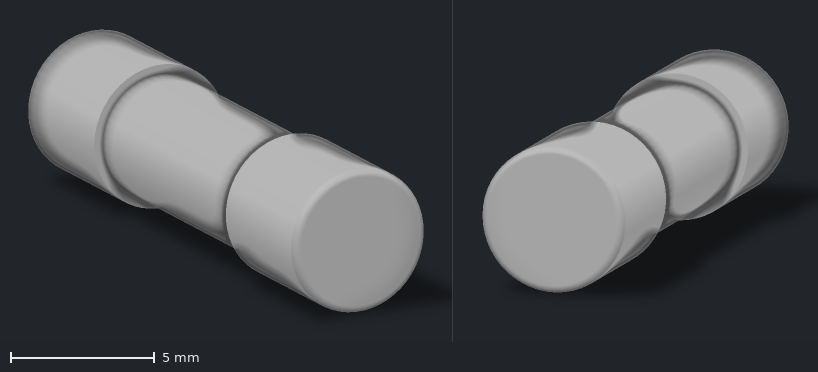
import cadquery as cq

fuse_length = 20.0
cap_diameter = 5.2
cap_length = 5.1
cap_edge_radius = 0.25
tube_diameter = 4.5

tube_length = fuse_length - 2 * cap_length


def make_cylinder(start_x, diameter, length):
    """Cylinder along X from start_x; a negative length runs towards -X."""
    return cq.Workplane("YZ").workplane(offset=start_x).circle(diameter / 2).extrude(length)


def make_tube():
    """Plain round body whose flat ends meet the inner faces of the caps."""
    return make_cylinder(-tube_length / 2, tube_diameter, tube_length)


def make_end_cap(side):
    """Round cap at the -X end (side = -1) or the +X end (side = 1), with its outer rim rounded."""
    cap = make_cylinder(side * tube_length / 2, cap_diameter, side * cap_length)
    outer_face = ">X" if side > 0 else "<X"
    return cap.faces(outer_face).edges().fillet(cap_edge_radius)


tube = make_tube()
end_caps = [make_end_cap(side) for side in (-1, 1)]

result = cq.Compound.makeCompound([tube.val(), *[cap.val() for cap in end_caps]])